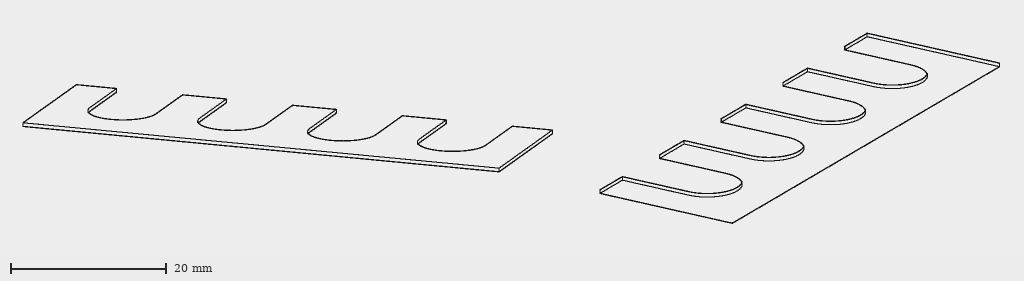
import cadquery as cq

plate_length = 65.0
plate_width = 20.0
plate_thickness = 0.5

slot_count = 4
slot_pitch = 15.0
slot_width = 9.0
slot_radius = slot_width / 2
slot_centre_y = 0.0


def make_plate():
    """Flat plate centred on X and Y, resting on Z = 0."""
    return cq.Workplane("XY").box(
        plate_length, plate_width, plate_thickness, centered=(True, True, False)
    )


def make_slot(centre_x):
    """Cutter for one slot: straight sides from the +Y edge down to a half-round end."""
    left = centre_x - slot_radius
    right = centre_x + slot_radius
    open_edge_y = plate_width / 2
    return (
        cq.Workplane("XY")
        .moveTo(left, open_edge_y)
        .lineTo(left, slot_centre_y)
        .threePointArc((centre_x, slot_centre_y - slot_radius), (right, slot_centre_y))
        .lineTo(right, open_edge_y)
        .close()
        .extrude(plate_thickness)
    )


result = make_plate()
first_slot_x = -slot_pitch * (slot_count - 1) / 2
for index in range(slot_count):
    result = result.cut(make_slot(first_slot_x + index * slot_pitch))